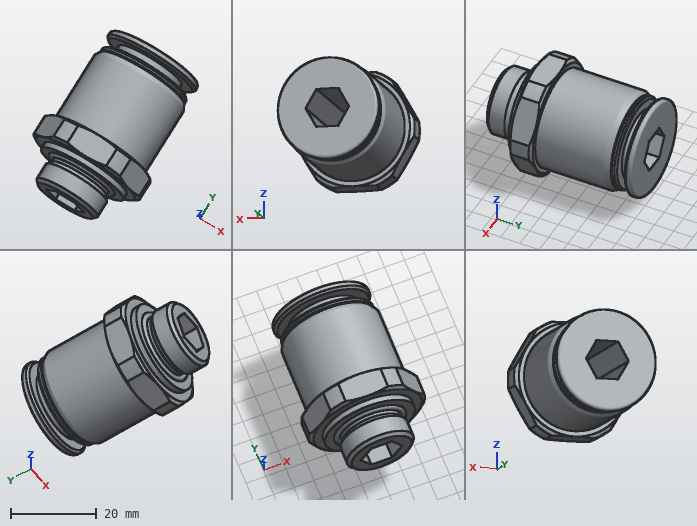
import cadquery as cq
import math

total_length = 39.85
thread_chamfer_end = 0.88
thread_full_end = 5.0
thread_taper_end = 6.15
flange_start = 7.55
hex_start = 9.05
hex_end = 15.0
body_end = 32.88
body_taper_end = 34.27
cap_start = 34.5
cap_end = 35.7
release_flange_start = 37.85

thread_radius = 8.35
neck_radius = 7.5
seal_radius = 9.0
flange_radius = 11.28
body_radius = 12.27
body_taper_radius = 11.5
groove_radius = 11.3
cap_radius = 11.5
collar_radius = 8.65
release_radius = 12.05

cap_chamfer = 0.48
release_chamfer = 0.6
release_round = 0.65
body_shoulder_round = 0.48
seal_section_radius = (seal_radius - neck_radius) / 2

hex_across_flats = 27.0
hex_turned_radius = 14.5
hex_chamfer_angle = 30.0
socket_across_flats = 9.0


def hexagon(across_flats, start, end):
    """Hexagonal prism along Y with flats facing up and down."""
    across_corners = across_flats / math.cos(math.radians(30))
    return (
        cq.Workplane("XZ", origin=(0, start, 0))
        .polygon(6, across_corners)
        .extrude(start - end)
    )


def revolve_about_y(profile):
    return profile.close().revolve(360, (0, 0, 0), (0, 1, 0))


def turned_body():
    """Thread, neck, seal, flange, sleeve and release collar in one turning."""
    taper_angle = math.atan2(body_radius - body_taper_radius, body_taper_end - body_end)
    blend_length = body_shoulder_round * math.tan(taper_angle / 2)
    blend_end = (
        body_radius - blend_length * math.sin(taper_angle),
        body_end + blend_length * math.cos(taper_angle),
    )
    profile = (
        cq.Workplane("XY")
        .lineTo(neck_radius, 0)
        .lineTo(thread_radius, thread_chamfer_end)
        .lineTo(thread_radius, thread_full_end)
        .lineTo(neck_radius, thread_taper_end)
        .lineTo(neck_radius, flange_start)
        .threePointArc(
            (neck_radius + seal_section_radius, flange_start - seal_section_radius),
            (seal_radius, flange_start),
        )
        .lineTo(flange_radius, flange_start)
        .lineTo(flange_radius, hex_start)
        .lineTo(body_radius, hex_start)
        .lineTo(body_radius, body_end - blend_length)
        .tangentArcPoint(blend_end, relative=False)
        .lineTo(body_taper_radius, body_taper_end)
        .lineTo(groove_radius, body_taper_end)
        .lineTo(groove_radius, cap_start)
        .lineTo(cap_radius, cap_start)
        .lineTo(cap_radius, cap_end - cap_chamfer)
        .lineTo(cap_radius - cap_chamfer, cap_end)
        .lineTo(collar_radius, cap_end)
        .lineTo(collar_radius, release_flange_start)
        .lineTo(release_radius - release_chamfer, release_flange_start)
        .lineTo(release_radius, release_flange_start + release_chamfer)
        .lineTo(release_radius, total_length - release_round)
        .tangentArcPoint((release_radius - release_round, total_length), relative=False)
        .lineTo(0, total_length)
    )
    return revolve_about_y(profile)


def wrench_hex():
    """Hexagon with turned corners and conical chamfers on both faces."""
    face_radius = hex_across_flats / 2
    chamfer_depth = (hex_turned_radius - face_radius) * math.tan(math.radians(hex_chamfer_angle))
    envelope = revolve_about_y(
        cq.Workplane("XY")
        .moveTo(0, hex_start)
        .lineTo(face_radius, hex_start)
        .lineTo(hex_turned_radius, hex_start + chamfer_depth)
        .lineTo(hex_turned_radius, hex_end - chamfer_depth)
        .lineTo(face_radius, hex_end)
        .lineTo(0, hex_end)
    )
    return hexagon(hex_across_flats, hex_start, hex_end).intersect(envelope)


socket = hexagon(socket_across_flats, 0, total_length)
result = turned_body().union(wrench_hex()).cut(socket)